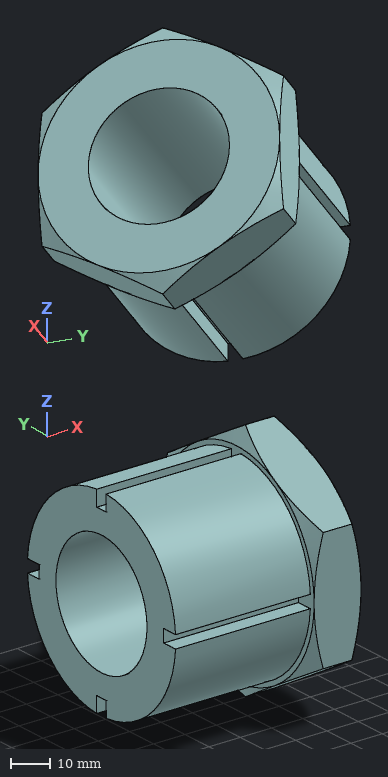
import cadquery as cq
import math

HEX_CORNERS = 75.05
HEX_LENGTH = 15.0
TOTAL_LENGTH = 58.0
BARREL_DIAMETER = 62.0
BORE_DIAMETER = 38.0
SLOT_WIDTH = 4.0
SLOT_DEPTH = 5.0
SLOT_COUNT = 4
CHAMFER_ANGLE = 30.0

barrel_length = TOTAL_LENGTH - HEX_LENGTH
barrel_radius = BARREL_DIAMETER / 2
corner_radius = HEX_CORNERS / 2
flat_radius = corner_radius * math.cos(math.radians(30))
chamfer_length = (corner_radius - flat_radius) * math.tan(math.radians(CHAMFER_ANGLE))


def make_barrel():
    return cq.Workplane("YZ").circle(barrel_radius).extrude(barrel_length)


def make_hexagon():
    """Hexagon with corners on Z, its corners chamfered conically at both ends."""
    prism = (
        cq.Workplane("YZ", origin=(barrel_length, 0, 0))
        .transformed(rotate=(0, 0, 90))
        .polygon(6, HEX_CORNERS)
        .extrude(HEX_LENGTH)
    )
    envelope = (
        cq.Workplane("XY")
        .moveTo(barrel_length, 0)
        .lineTo(barrel_length, flat_radius)
        .lineTo(barrel_length + chamfer_length, corner_radius)
        .lineTo(TOTAL_LENGTH - chamfer_length, corner_radius)
        .lineTo(TOTAL_LENGTH, flat_radius)
        .lineTo(TOTAL_LENGTH, 0)
        .close()
        .revolve(360, (0, 0, 0), (1, 0, 0))
    )
    return prism.intersect(envelope)


def make_slot(angle):
    """Cutter for one slot along the whole barrel, stopping at the hexagon."""
    slot_floor = barrel_radius - SLOT_DEPTH
    return (
        cq.Workplane("XY", origin=(0, 0, slot_floor))
        .box(barrel_length, SLOT_WIDTH, 2 * SLOT_DEPTH, centered=(False, True, False))
        .rotate((0, 0, 0), (1, 0, 0), angle)
    )


def make_bore():
    return cq.Workplane("YZ").circle(BORE_DIAMETER / 2).extrude(TOTAL_LENGTH)


barrel = make_barrel()
for index in range(SLOT_COUNT):
    barrel = barrel.cut(make_slot(index * 360 / SLOT_COUNT))

result = barrel.union(make_hexagon()).cut(make_bore())